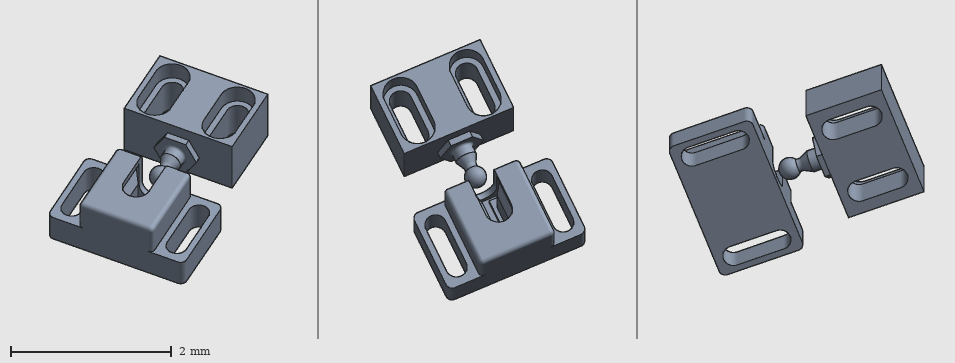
import cadquery as cq
import math

overall_length = 2.77
ball_axis_z = 0.33

housing_width = 1.89
housing_depth = 1.108
housing_height = 0.79
flange_front_height = 0.385
flange_back_height = 0.395
flange_corner_radius = 0.083
boss_width = 1.028
boss_edge_radius = 0.058
housing_slot_width = 0.265
housing_slot_length = 0.886
housing_slot_offset = 0.729

wall_thickness = 0.085
entry_width = 0.35
entry_length = 0.698
cavity_width = boss_width - 2 * wall_thickness
cavity_back = housing_depth - wall_thickness
cavity_top = housing_height - wall_thickness

jaw_back_clearance = 0.05
jaw_foot_gap = 0.102
jaw_foot_top = 0.152
jaw_throat = 0.208
jaw_tip_z = 0.54
jaw_slope = math.radians(60)
lead_in_length = 0.125
lead_in_width = 0.09
jaw_back = cavity_back - jaw_back_clearance

block_width = 1.495
block_depth = 1.005
block_height = 0.748
block_front = overall_length - block_depth
block_slot_offset = 0.452
block_slot_width = 0.283
block_slot_length = 0.78
recess_width = 0.443
recess_length = 0.933
recess_depth = 0.252

hex_across_flats = 0.51
hex_thickness = 0.085
shank_radius = 0.138
shank_fillet = 0.033
shank_end = 0.22
cone_end = 0.327
neck_radius = 0.08
neck_end_radius = 0.085
ball_radius = 0.138
ball_center = 0.495


def long_slots(width, length, offset, center_y, bottom, height):
    """Pair of rounded slots along Y, mirrored about the middle plane."""
    return (
        cq.Workplane("XY", origin=(0, center_y, bottom))
        .pushPoints([(-offset, 0), (offset, 0)])
        .slot2D(length, width, 90)
        .extrude(height)
    )


def make_flange():
    """Base plate whose top rises slightly towards the back."""
    side = [
        (0, 0),
        (housing_depth, 0),
        (housing_depth, flange_back_height),
        (0, flange_front_height),
    ]
    flange = (
        cq.Workplane("YZ")
        .polyline(side)
        .close()
        .extrude(housing_width / 2, both=True)
        .edges("|Z")
        .fillet(flange_corner_radius)
    )
    slots = long_slots(
        housing_slot_width,
        housing_slot_length,
        housing_slot_offset,
        housing_depth / 2,
        0,
        housing_height,
    )
    return flange.cut(slots)


def make_boss():
    """Raised middle with rounded upright corners and top edges."""
    bottom = flange_front_height / 2
    return (
        cq.Workplane("XY", origin=(0, housing_depth / 2, bottom))
        .rect(boss_width, housing_depth)
        .extrude(housing_height - bottom)
        .edges("|Z or >Z")
        .fillet(boss_edge_radius)
    )


def make_cavity():
    """Closed chamber that holds the jaws."""
    return (
        cq.Workplane("XY", origin=(0, 0, wall_thickness))
        .center(0, (wall_thickness + cavity_back) / 2)
        .rect(cavity_width, cavity_back - wall_thickness)
        .extrude(cavity_top - wall_thickness)
    )


def make_top_entry():
    """Round-ended slot through the roof, open at the back."""
    radius = entry_width / 2
    end_y = housing_depth - entry_length
    return (
        cq.Workplane("XY", origin=(0, 0, ball_axis_z))
        .moveTo(-radius, housing_depth)
        .lineTo(-radius, end_y + radius)
        .threePointArc((0, end_y), (radius, end_y + radius))
        .lineTo(radius, housing_depth)
        .close()
        .extrude(housing_height - ball_axis_z)
    )


def make_back_entry():
    """Round bottom of the opening in the back wall, around the ball axis."""
    return (
        cq.Workplane("XZ", origin=(0, housing_depth, ball_axis_z))
        .circle(entry_width / 2)
        .extrude(wall_thickness)
    )


def make_housing():
    """Flange and boss as one solid, hollowed out and opened towards the ball."""
    solid = make_flange().union(make_boss())
    return solid.cut(make_cavity()).cut(make_top_entry()).cut(make_back_entry())


def make_jaw(side):
    """Jaw with a foot, an upright throat face and a sloped upper face; side is -1 or 1."""
    throat_x = jaw_throat / 2
    slope_run = (cavity_top - jaw_tip_z) / math.tan(jaw_slope)
    profile = [
        (jaw_foot_gap / 2, wall_thickness),
        (cavity_width / 2, wall_thickness),
        (cavity_width / 2, cavity_top),
        (throat_x + slope_run, cavity_top),
        (throat_x, jaw_tip_z),
        (throat_x, jaw_foot_top),
        (jaw_foot_gap / 2, jaw_foot_top),
    ]
    jaw = (
        cq.Workplane("XZ", origin=(0, jaw_back, 0))
        .polyline([(side * x, z) for x, z in profile])
        .close()
        .extrude(jaw_back - wall_thickness)
    )
    lead_in = [
        (0, jaw_back),
        (side * (throat_x + lead_in_width), jaw_back),
        (side * throat_x, jaw_back - lead_in_length),
        (0, jaw_back - lead_in_length),
    ]
    lead_in_cut = (
        cq.Workplane("XY", origin=(0, 0, jaw_foot_top))
        .polyline(lead_in)
        .close()
        .extrude(cavity_top - jaw_foot_top)
    )
    return jaw.cut(lead_in_cut)


def make_block():
    """Mounting block with two recessed through slots."""
    center_y = block_front + block_depth / 2
    block = (
        cq.Workplane("XY", origin=(0, center_y, 0))
        .rect(block_width, block_depth)
        .extrude(block_height)
    )
    slots = long_slots(
        block_slot_width, block_slot_length, block_slot_offset, center_y, 0, block_height
    )
    recesses = long_slots(
        recess_width,
        recess_length,
        block_slot_offset,
        center_y,
        block_height - recess_depth,
        recess_depth,
    )
    return block.cut(slots).cut(recesses)


def make_ball_stud():
    """Hexagon flange, turned shank, waisted neck and ball, pointing towards the housing."""
    hexagon = (
        cq.Workplane("XZ", origin=(0, block_front, ball_axis_z))
        .polygon(6, hex_across_flats / math.cos(math.pi / 6))
        .extrude(hex_thickness)
    )
    neck_end = ball_center - math.sqrt(ball_radius**2 - neck_end_radius**2)
    fillet_end = hex_thickness + shank_fillet
    fillet_mid = shank_fillet * (1 - math.sqrt(0.5))
    turned = (
        cq.Workplane("XY")
        .moveTo(0, -hex_thickness)
        .lineTo(shank_radius + shank_fillet, -hex_thickness)
        .threePointArc(
            (shank_radius + fillet_mid, -(hex_thickness + fillet_mid)),
            (shank_radius, -fillet_end),
        )
        .lineTo(shank_radius, -shank_end)
        .lineTo(neck_end_radius, -cone_end)
        .threePointArc((neck_radius, -(cone_end + neck_end) / 2), (neck_end_radius, -neck_end))
        .threePointArc((ball_radius, -ball_center), (0, -(ball_center + ball_radius)))
        .close()
        .revolve(360, (0, 0, 0), (0, 1, 0))
        .translate((0, block_front, ball_axis_z))
    )
    return hexagon.union(turned)


housing = make_housing()
jaws = [make_jaw(side) for side in (-1, 1)]
block = make_block()
ball_stud = make_ball_stud()

result = cq.Compound.makeCompound(
    [housing.val(), *[jaw.val() for jaw in jaws], block.val(), ball_stud.val()]
)